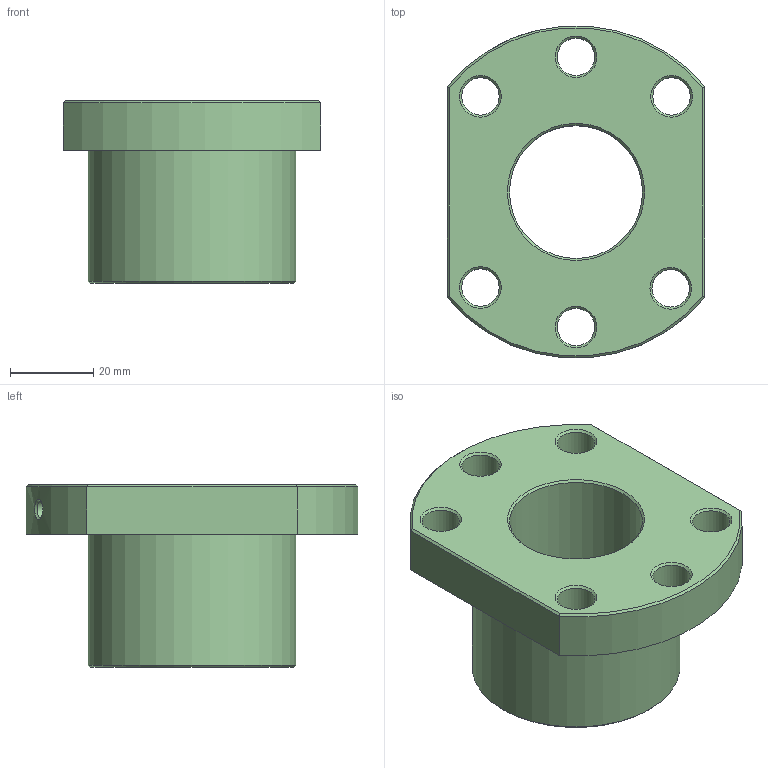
import cadquery as cq
import math

total_height = 44.0
flange_thickness = 12.0
flange_base = total_height - flange_thickness
flange_mid_height = flange_base + flange_thickness / 2

flange_diameter = 80.0
flange_width = 62.0
sleeve_diameter = 50.0
bore_diameter = 32.0
edge_chamfer = 0.5

bolt_circle_diameter = 65.0
bolt_hole_diameter = 9.0
offset_hole_shift = -0.5
bolt_hole_angles = [45, 90, 135, 225, 270, 315 + offset_hole_shift]

port_angle = (90 + 135) / 2
port_diameter = 4.0
port_depth = 12.0


def polar_point(radius, angle):
    """X and Y of a point at a radius and an angle in degrees about the Z axis."""
    return radius * math.cos(math.radians(angle)), radius * math.sin(math.radians(angle))


def make_flange():
    """Round flange with two parallel flats and a chamfered top rim."""
    base_plane = cq.Workplane("XY", origin=(0, 0, flange_base))
    disc = base_plane.circle(flange_diameter / 2).extrude(flange_thickness)
    flats = base_plane.rect(flange_width, flange_diameter).extrude(flange_thickness)
    return disc.intersect(flats).faces(">Z").chamfer(edge_chamfer)


def make_sleeve():
    """Cylindrical sleeve below the flange with a chamfered lower edge."""
    sleeve = cq.Workplane("XY").circle(sleeve_diameter / 2).extrude(flange_base)
    return sleeve.faces("<Z").chamfer(edge_chamfer)


def chamfered_hole(x, y, diameter):
    """Cutter for a vertical through hole with its top edge chamfered."""
    radius = diameter / 2
    profile = (
        cq.Workplane("XZ")
        .lineTo(radius, 0)
        .lineTo(radius, total_height - edge_chamfer)
        .lineTo(radius + edge_chamfer, total_height)
        .lineTo(0, total_height)
        .close()
    )
    return profile.revolve(360, (0, 0, 0), (0, 1, 0)).translate((x, y, 0))


def cut_port(body):
    """Drill the radial port inward from the rim and chamfer its mouth."""
    mouth_center = (*polar_point(flange_diameter / 2, port_angle), flange_mid_height)
    inward = (*polar_point(-1, port_angle), 0)
    port = cq.Workplane(cq.Plane(mouth_center, normal=inward)).circle(port_diameter / 2)
    drilled = body.cut(port.extrude(port_depth))
    mouth_edge = drilled.edges(cq.selectors.NearestToPointSelector(mouth_center))
    return mouth_edge.chamfer(edge_chamfer)


result = cut_port(make_flange()).union(make_sleeve())
result = result.cut(chamfered_hole(0, 0, bore_diameter))
for hole_angle in bolt_hole_angles:
    hole_x, hole_y = polar_point(bolt_circle_diameter / 2, hole_angle)
    result = result.cut(chamfered_hole(hole_x, hole_y, bolt_hole_diameter))